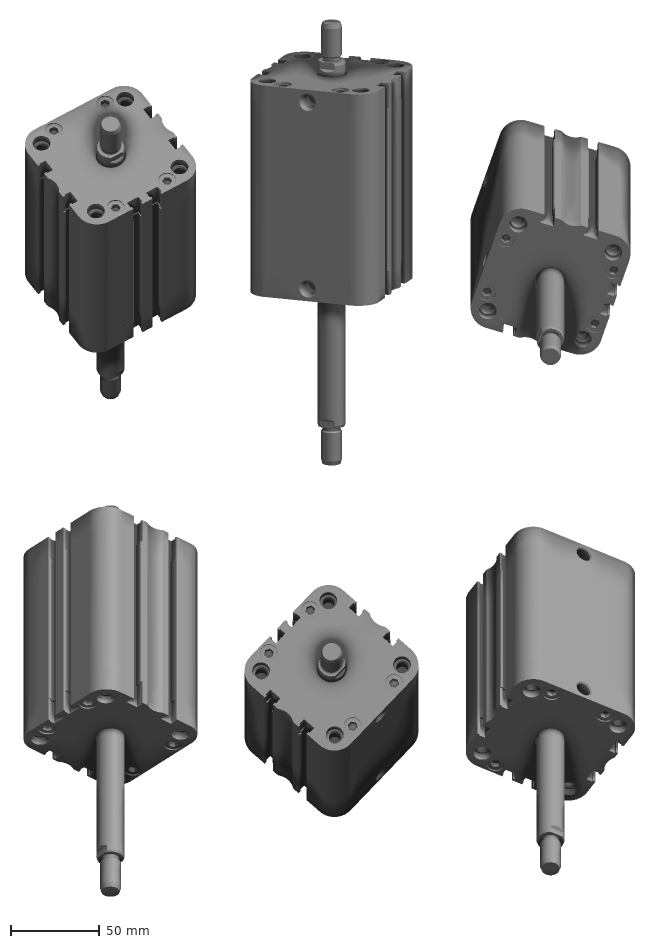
import cadquery as cq
import math

total_length = 259.0
body_side = 77.0
corner_radius = 12.5
body_length = 124.0
cap_thickness = 14.2
top_protrusion = 30.0

finger_groove_diameter = 20.5
finger_groove_depth = 1.8
y_side_slot_offset = 13.0
x_side_slot_offset = 6.5
slot_depth = 5.5
barrel_x_slot_depth = 4.7
slot_lip = 1.5
cap_slot_opening = 6.2
cap_slot_width = 7.8
barrel_slot_width = 6.2
barrel_lip_overhang = 0.8
barrel_lip_chamfer = 0.5

mount_hole_offset = 28.2
mount_hole_diameter = 6.7
mount_counterbore_diameter = 10.0
mount_counterbore_depth = 5.0
mount_countersink_diameter = 8.3
screw_offset_x = 32.0
screw_offset_y = 17.4
screw_recess_diameter = 10.0
screw_recess_depth = 0.8
hex_across_flats = 5.0
hex_depth = 3.0
port_diameter = 8.5
port_chamfer = 0.8
port_depth = 13.0
port_inset = 7.3
cap_bore_diameter = 16.5
cap_bore_chamfer = 0.65

rod_diameter = 16.0
rod_chamfer_width = 0.5
rod_chamfer_length = 1.5
thread_diameter = 12.0
neck_diameter = 10.4
tip_diameter = 10.4
tip_chamfer_length = 2.5
neck_taper = 0.8
thread_end = 19.2
shoulder = 22.3
flat_end = 26.2
across_flats = 13.2

half_side = body_side / 2
body_top = body_length / 2
barrel_top = body_top - cap_thickness
rod_top = body_top + top_protrusion
rod_middle = rod_top - total_length / 2


def extruded_slot(outline, bottom, height):
    return (
        cq.Workplane("XY", origin=(0, 0, bottom))
        .polyline(outline)
        .close()
        .extrude(height)
    )


def mirrored_pair(cutter):
    """The cutter and its mirror image across the YZ plane."""
    return cutter.union(cutter.mirror("YZ"))


def cut_slots(section, y_side_slot, x_side_slot):
    """Cut a slot pair into +Y and -Y, and another pair into +X.

    Both slots are given at positive X in the +Y side.
    """
    y_side_pair = mirrored_pair(y_side_slot)
    x_side_pair = mirrored_pair(x_side_slot).rotate((0, 0, 0), (0, 0, 1), -90)
    return section.cut(y_side_pair).cut(y_side_pair.mirror("XZ")).cut(x_side_pair)


def housing_section(bottom, height):
    """Rounded square length of housing with its finger grooves."""
    groove_centre = half_side - finger_groove_depth + finger_groove_diameter / 2
    finger_grooves = (
        cq.Workplane("XY", origin=(0, 0, bottom))
        .pushPoints([(0, groove_centre), (0, -groove_centre)])
        .circle(finger_groove_diameter / 2)
        .extrude(height)
    )
    return (
        cq.Workplane("XY", origin=(0, 0, bottom))
        .rect(body_side, body_side)
        .extrude(height)
        .edges("|Z")
        .fillet(corner_radius)
        .cut(finger_grooves)
    )


def barrel_slot(offset, lip_side, depth):
    """Slot with one chamfered lip, on the edge at lip_side (-1 or 1) of its centre."""
    lip_wall = offset + lip_side * barrel_slot_width / 2
    plain_wall = offset - lip_side * barrel_slot_width / 2
    lip_edge = lip_wall - lip_side * barrel_lip_overhang
    floor = half_side - depth
    outline = [
        (plain_wall, half_side),
        (plain_wall, floor),
        (lip_wall, floor),
        (lip_wall, half_side - slot_lip),
        (lip_edge, half_side - slot_lip),
        (lip_edge, half_side - barrel_lip_chamfer),
        (lip_edge + lip_side * barrel_lip_chamfer, half_side),
    ]
    return extruded_slot(outline, -barrel_top, 2 * barrel_top)


def make_barrel():
    barrel = cut_slots(
        housing_section(-barrel_top, 2 * barrel_top),
        barrel_slot(y_side_slot_offset, -1, slot_depth),
        barrel_slot(x_side_slot_offset, 1, barrel_x_slot_depth),
    )
    rod_bore = (
        cq.Workplane("XY", origin=(0, 0, -barrel_top))
        .circle(rod_diameter / 2)
        .extrude(2 * barrel_top)
    )
    return barrel.cut(rod_bore)


def cap_slot(offset):
    """T-slot, symmetrical about its centre."""
    half_opening = cap_slot_opening / 2
    half_width = cap_slot_width / 2
    lip_level = half_side - slot_lip
    floor = half_side - slot_depth
    outline = [
        (offset - half_opening, half_side),
        (offset - half_opening, lip_level),
        (offset - half_width, lip_level),
        (offset - half_width, floor),
        (offset + half_width, floor),
        (offset + half_width, lip_level),
        (offset + half_opening, lip_level),
        (offset + half_opening, half_side),
    ]
    return extruded_slot(outline, barrel_top, cap_thickness)


def screw_recesses():
    """Shallow round recesses with hexagon sockets for the four cap screws."""
    recesses = (
        cq.Workplane("XY", origin=(0, 0, body_top))
        .rect(2 * screw_offset_x, 2 * screw_offset_y, forConstruction=True)
        .vertices()
        .circle(screw_recess_diameter / 2)
        .extrude(-screw_recess_depth)
    )
    hex_across_corners = hex_across_flats / math.cos(math.radians(30))
    socket = (
        cq.Workplane("XY")
        .polygon(6, hex_across_corners)
        .extrude(-(screw_recess_depth + hex_depth))
    )
    turned_socket = socket.rotate((0, 0, 0), (0, 0, 1), 90)
    for y in (-screw_offset_y, screw_offset_y):
        recesses = recesses.union(socket.translate((screw_offset_x, y, body_top)))
        recesses = recesses.union(turned_socket.translate((-screw_offset_x, y, body_top)))
    return recesses


def bore_along_z(profile):
    """Turned cutter on the Z axis from (radius, Z) points."""
    return cq.Workplane("XZ").polyline(profile).close().revolve(360, (0, 0, 0), (0, 1, 0))


def rod_opening():
    """Clearance hole for the rod, chamfered at the outer face of the cap."""
    radius = cap_bore_diameter / 2
    return bore_along_z([
        (0, body_top),
        (radius + cap_bore_chamfer, body_top),
        (radius, body_top - cap_bore_chamfer),
        (radius, barrel_top),
        (0, barrel_top),
    ])


def mounting_holes():
    """Counterbored corner holes, countersunk at the counterbore floor."""
    counterbore_floor = body_top - mount_counterbore_depth
    countersink_depth = (mount_countersink_diameter - mount_hole_diameter) / 2
    counterbore_radius = mount_counterbore_diameter / 2
    countersink_radius = mount_countersink_diameter / 2
    hole_radius = mount_hole_diameter / 2
    hole = bore_along_z([
        (0, body_top),
        (counterbore_radius, body_top),
        (counterbore_radius, counterbore_floor),
        (countersink_radius, counterbore_floor),
        (hole_radius, counterbore_floor - countersink_depth),
        (hole_radius, barrel_top),
        (0, barrel_top),
    ])
    positions = (
        cq.Workplane("XY")
        .rect(2 * mount_hole_offset, 2 * mount_hole_offset, forConstruction=True)
        .vertices()
    )
    return positions.eachpoint(lambda place: hole.val().moved(place))


def port_cutter():
    """Chamfered port drilled into the -X side."""
    radius = port_diameter / 2
    port_bottom = port_depth - half_side
    return (
        cq.Workplane("XY")
        .polyline([
            (-half_side, 0),
            (-half_side, radius + port_chamfer),
            (port_chamfer - half_side, radius),
            (port_bottom, radius),
            (port_bottom, 0),
        ])
        .close()
        .revolve(360, (0, 0, 0), (1, 0, 0))
        .translate((0, 0, body_top - port_inset))
    )


def make_upper_cap():
    cap = cut_slots(
        housing_section(barrel_top, cap_thickness),
        cap_slot(y_side_slot_offset),
        cap_slot(x_side_slot_offset),
    )
    for cutter in (rod_opening(), mounting_holes(), screw_recesses(), port_cutter()):
        cap = cap.cut(cutter)
    return cap


def flat_cutter(side):
    """Wrench flat with a 45 degree run-out, on the upper end of the rod."""
    flat = across_flats / 2
    outside = rod_diameter
    run_out = outside - flat
    return (
        cq.Workplane("XZ")
        .polyline([
            (side * flat, rod_top - shoulder),
            (side * flat, rod_top - flat_end),
            (side * outside, rod_top - flat_end - run_out),
            (side * outside, rod_top - shoulder),
        ])
        .close()
        .extrude(rod_diameter, both=True)
    )


def make_rod():
    profile = [
        (0, 0),
        (tip_diameter / 2, 0),
        (thread_diameter / 2, tip_chamfer_length),
        (thread_diameter / 2, thread_end),
        (neck_diameter / 2, thread_end + neck_taper),
        (neck_diameter / 2, shoulder),
        (rod_diameter / 2 - rod_chamfer_width, shoulder),
        (rod_diameter / 2, shoulder + rod_chamfer_length),
        (rod_diameter / 2, total_length / 2),
        (0, total_length / 2),
    ]
    half = (
        cq.Workplane("XZ")
        .polyline([(radius, rod_top - distance) for radius, distance in profile])
        .close()
        .revolve(360, (0, 0, 0), (0, 1, 0))
    )
    for side in (-1, 1):
        half = half.cut(flat_cutter(side))
    return half.union(half.mirror("XY", (0, 0, rod_middle)))


barrel = make_barrel()
upper_cap = make_upper_cap()
lower_cap = upper_cap.mirror("XY")
piston_rod = make_rod()

result = cq.Compound.makeCompound([
    barrel.val(),
    upper_cap.val(),
    lower_cap.val(),
    piston_rod.val(),
])